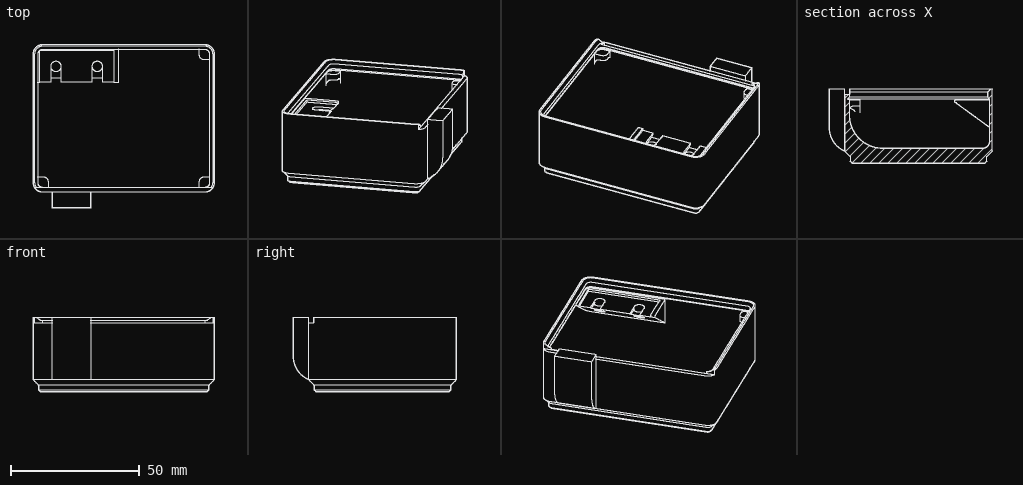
import cadquery as cq
import math

length = 70.5
width = 57.45
height = 29.0
corner_radius = 3.75

foot_chamfer = 0.8
foot_step_height = 1.8
foot_flare = 2.1

lip_wall = 1.9
lower_wall = 1.2
floor_z = 5.9
lip_bottom_z = 25.7
rim_land = 0.6
scoop_radius = 12.8
notch_depth = 2.1

ledge_z = 24.7
tab_size = 4.0
tab_thickness = 2.3
tab_corner_radius = 1.9

shelf_length = 31.4
shelf_depth = 12.8
shelf_edge_height = 0.8
shelf_edge_radius = 0.55
shelf_underside_angle = 36.0
label_length = 29.05
label_rim = 0.5
label_recess = 0.9
slot_diameter = 4.0
slot_depth = 1.05
slot_count = 2
slot_spacing = 16.1
slot_side_offset = 7.0
slot_front_offset = 6.2

block_length = 15.1
block_depth = 6.05
block_side_offset = 7.4
block_radius = 10.0

foot_step_z = foot_chamfer + foot_step_height
foot_height = foot_step_z + foot_flare
lip_undercut = lip_wall - lower_wall
lower_top_z = lip_bottom_z - lip_undercut
rim_chamfer_z = height - (lip_wall - rim_land)
notch_z = height - notch_depth
lower_radius = corner_radius - lower_wall
edge_radius = lower_radius - 0.01
left = -length / 2
front = -width / 2
back = width / 2
lip_left = left + lip_wall
lip_front = front + lip_wall
lip_back = back - lip_wall


def rounded_outline(inset, z):
    """Body outline moved inward by inset, placed at height z."""
    outline = cq.Sketch().rect(length - 2 * inset, width - 2 * inset)
    outline = outline.vertices().fillet(corner_radius - inset)
    return outline.moved(cq.Location(cq.Vector(0, 0, z)))


def prism(inset, z_low, z_high):
    """Straight block with the inset body outline."""
    return cq.Workplane("XY").placeSketch(rounded_outline(inset, z_low)).extrude(z_high - z_low)


def flare(inset_low, z_low, inset_high, z_high):
    """Block that tapers from one inset of the body outline to another."""
    low = rounded_outline(inset_low, z_low)
    high = rounded_outline(inset_high, z_high)
    return cq.Workplane("XY").placeSketch(low, high).loft()


def box(x, y, z, size_x, size_y, size_z):
    """Box with its lowest corner at x, y, z."""
    return cq.Workplane("XY").box(size_x, size_y, size_z, centered=False).translate((x, y, z))


def outer_body():
    """Solid body on its stepped foot."""
    body = flare(foot_flare + foot_chamfer, 0, foot_flare, foot_chamfer)
    body = body.union(prism(foot_flare, foot_chamfer, foot_step_z))
    body = body.union(flare(foot_flare, foot_step_z, 0, foot_height))
    return body.union(prism(0, foot_height, height))


def rim_opening():
    """Opening inside the lip: chamfered above, straight, and undercut below."""
    opening = flare(lip_wall, rim_chamfer_z, rim_land, height)
    opening = opening.union(prism(lip_wall, lip_bottom_z, rim_chamfer_z))
    return opening.union(flare(lower_wall, lower_top_z, lip_wall, lip_bottom_z))


def lower_cavity():
    """Main pocket with a scooped front and rounded bottom and side edges."""
    pocket_back = back - lower_wall
    scoop_y = lip_front + scoop_radius
    scoop_z = floor_z + scoop_radius
    diagonal = scoop_radius * math.sqrt(0.5)
    pocket = (
        cq.Workplane("YZ", origin=(left + lower_wall, 0, 0))
        .moveTo(pocket_back, lower_top_z)
        .lineTo(pocket_back, floor_z)
        .lineTo(scoop_y, floor_z)
        .threePointArc((scoop_y - diagonal, scoop_z - diagonal), (lip_front, scoop_z))
        .lineTo(lip_front, lower_top_z)
        .close()
        .extrude(length - 2 * lower_wall)
    )
    pocket = pocket.edges("|Z and >Y").fillet(lower_radius)
    return pocket.faces("<Z").edges(">Y").fillet(edge_radius)


def corner_tab(side_x, side_y):
    """Tab in one corner, blended into the walls below it by a concave fillet."""
    reach = lip_wall + tab_size
    tab = box(left, front, 0, reach, reach, ledge_z)
    tab = tab.edges("|Z and >X and >Y").fillet(tab_corner_radius)
    if side_x > 0:
        tab = tab.mirror("YZ")
    if side_y > 0:
        tab = tab.mirror("XZ")
    space_below = prism(lower_wall, 0, ledge_z - tab_thickness)
    space_below = space_below.faces(">Z").edges().fillet(edge_radius)
    return tab.cut(space_below)


def shelf_blank():
    """Shelf with a rounded front edge and a sloping underside."""
    shelf_front = lip_back - shelf_depth
    edge_z = ledge_z - shelf_edge_height
    slope_drop = (back - shelf_front) * math.tan(math.radians(shelf_underside_angle))
    blank = (
        cq.Workplane("YZ", origin=(left, 0, 0))
        .moveTo(back, ledge_z)
        .lineTo(shelf_front, ledge_z)
        .lineTo(shelf_front, edge_z)
        .lineTo(back, edge_z - slope_drop)
        .close()
        .extrude(lip_wall + shelf_length)
    )
    return blank.edges("|X and >Z and <Y").fillet(shelf_edge_radius)


def label_shelf():
    """Shelf with a label recess and two slots that end in round through holes."""
    shelf_front = lip_back - shelf_depth
    label_z = ledge_z - label_recess
    label_width = shelf_depth - label_rim
    recess = box(lip_left + label_rim, shelf_front, label_z, label_length, label_width, label_recess)
    shelf = shelf_blank().cut(recess)

    slot_y = shelf_front + slot_front_offset
    slot_z = label_z - slot_depth
    for index in range(slot_count):
        slot_x = lip_left + slot_side_offset + index * slot_spacing
        slot_left = slot_x - slot_diameter / 2
        slot = box(slot_left, shelf_front, slot_z, slot_diameter, slot_front_offset, slot_depth)
        hole = cq.Workplane("XY").center(slot_x, slot_y).circle(slot_diameter / 2).extrude(height)
        shelf = shelf.cut(slot).cut(hole)
    return shelf


def front_block():
    """Block on the front wall with a large round under its outer face."""
    outer_y = front - block_depth
    center_y = outer_y + block_radius
    arc_drop = math.sqrt(block_radius**2 - (center_y - front) ** 2)
    center_z = foot_height + arc_drop
    half_angle = math.asin(arc_drop / block_radius) / 2
    arc_middle = (
        center_y - block_radius * math.cos(half_angle),
        center_z - block_radius * math.sin(half_angle),
    )
    return (
        cq.Workplane("YZ", origin=(left + block_side_offset, 0, 0))
        .moveTo(front, height)
        .lineTo(outer_y, height)
        .lineTo(outer_y, center_z)
        .threePointArc(arc_middle, (front, foot_height))
        .close()
        .extrude(block_length)
    )


cavity = lower_cavity().union(rim_opening())
for side_x, side_y in ((-1, -1), (1, -1), (1, 1)):
    cavity = cavity.cut(corner_tab(side_x, side_y))
cavity = cavity.cut(label_shelf())

notch = box(left, front, notch_z, length, lip_wall, notch_depth)

result = outer_body().cut(cavity).cut(notch).union(front_block())